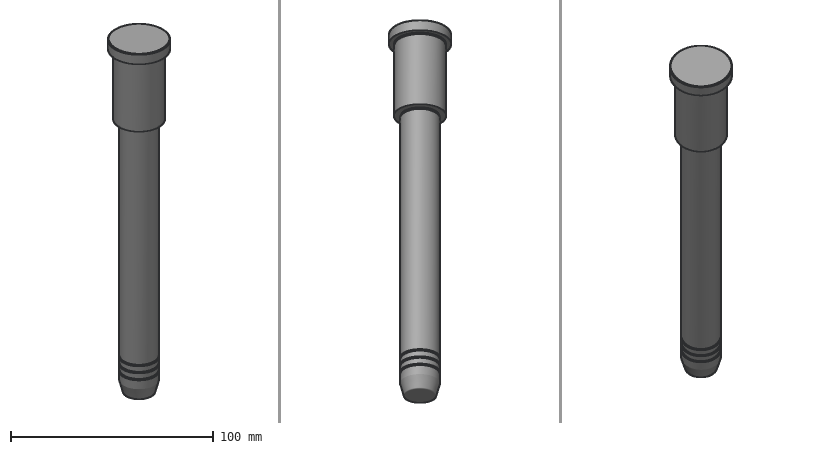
import cadquery as cq
import math

TOTAL_LENGTH = 201.0
HEAD_DIAMETER = 31.0
HEAD_HEIGHT = 5.8
HEAD_CHAMFER = 0.5
COLLAR_DIAMETER = 26.0
COLLAR_LENGTH = 39.8
SHANK_DIAMETER = 19.9

HEAD_RELIEF_WIDTH = 1.0
COLLAR_RELIEF_WIDTH = 1.0
HEAD_RELIEF_DEPTH = 0.5
COLLAR_RELIEF_DEPTH = 0.5

GROOVE_COUNT = 3
GROOVE_WIDTH = 1.0
GROOVE_DEPTH = 0.5
GROOVE_PITCH = 4.0
LOWEST_GROOVE_CENTER = 12.5

TIP_LENGTH = 7.0
TIP_ANGLE = 15.0
TIP_FILLET = 0.6

head_bottom = TOTAL_LENGTH - HEAD_HEIGHT
collar_bottom = head_bottom - COLLAR_LENGTH
shank_radius = SHANK_DIAMETER / 2
tip_radius = shank_radius - TIP_LENGTH * math.tan(math.radians(TIP_ANGLE))


def cylinder(diameter, bottom, top):
    """Solid cylinder on the Z axis between two heights."""
    return cq.Workplane("XY").workplane(offset=bottom).circle(diameter / 2).extrude(top - bottom)


def ring_cutter(diameter, depth, bottom, width):
    """Ring that cuts a square groove into a cylinder of the given diameter."""
    outer = cylinder(diameter + 2 * depth, bottom, bottom + width)
    return outer.cut(cylinder(diameter - 2 * depth, bottom, bottom + width))


def v_ring_cutter(diameter, depth, bottom, width):
    """Ring that cuts a V-shaped groove into a cylinder of the given diameter."""
    radius = diameter / 2
    profile = [(radius, bottom), (radius - depth, bottom + width / 2), (radius, bottom + width)]
    return cq.Workplane("XZ").polyline(profile).close().revolve(360, (0, 0, 0), (0, 1, 0))


def tapered_shank():
    """Long shank ending in a cone with a rounded rim."""
    profile = [
        (0, 0),
        (tip_radius, 0),
        (shank_radius, TIP_LENGTH),
        (shank_radius, collar_bottom),
        (0, collar_bottom),
    ]
    shank = cq.Workplane("XZ").polyline(profile).close().revolve(360, (0, 0, 0), (0, 1, 0))
    return shank.faces("<Z").edges().fillet(TIP_FILLET)


head = cylinder(HEAD_DIAMETER, head_bottom, TOTAL_LENGTH).faces(">Z").edges().chamfer(HEAD_CHAMFER)
collar = cylinder(COLLAR_DIAMETER, collar_bottom, head_bottom)
pin = tapered_shank().union(collar).union(head)

pin = pin.cut(
    v_ring_cutter(COLLAR_DIAMETER, HEAD_RELIEF_DEPTH, head_bottom - HEAD_RELIEF_WIDTH, HEAD_RELIEF_WIDTH)
)
pin = pin.cut(
    ring_cutter(SHANK_DIAMETER, COLLAR_RELIEF_DEPTH, collar_bottom - COLLAR_RELIEF_WIDTH, COLLAR_RELIEF_WIDTH)
)

for index in range(GROOVE_COUNT):
    groove_bottom = LOWEST_GROOVE_CENTER + index * GROOVE_PITCH - GROOVE_WIDTH / 2
    pin = pin.cut(v_ring_cutter(SHANK_DIAMETER, GROOVE_DEPTH, groove_bottom, GROOVE_WIDTH))

result = pin